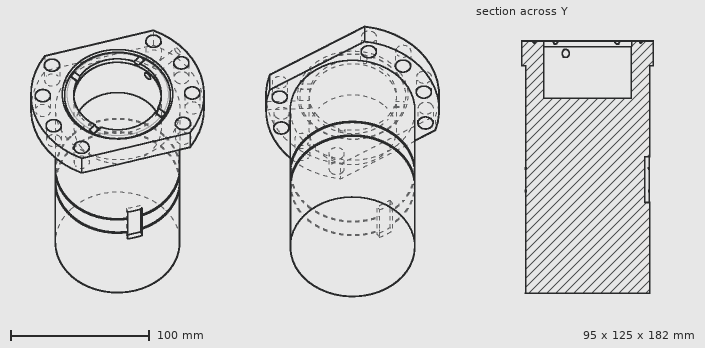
import cadquery as cq
import math

total_height = 182.0
flange_diameter = 125.0
flange_width = 95.0
flange_thickness = 18.0
body_diameter = 89.9

bolt_circle_diameter = 107.7
bolt_hole_diameter = 11.0
bolt_hole_angles = (45, 75, 105, 135)
oil_hole_diameter = 5.8
oil_hole_angle = 120
oil_hole_inner_radius = 27.3
oil_hole_depth = flange_diameter / 2 - oil_hole_inner_radius

bore_diameter = 63.0
bore_depth = 41.3
wiper_bore_diameter = 63.2
wiper_depth = 4.2
groove_outer_diameter = 79.7
groove_inner_diameter = 73.2
groove_depth = 1.6

notch_count = 4
notch_start_angle = 46
notch_slant = 14
notch_diameter = 4.5
notch_inner_radius = 27.3
notch_outer_radius = 38.0

body_middle = (total_height - flange_thickness) / 2
spacer_height = 16.4
joint_width = 1.1
joint_depth = 0.5

keyway_length = 33.0
keyway_width = 11.0
keyway_depth = 3.6


def polar(radius, angle):
    return (radius * math.cos(math.radians(angle)), radius * math.sin(math.radians(angle)))


def make_body():
    return cq.Workplane("XY").circle(body_diameter / 2).extrude(total_height)


def make_flange():
    """Round flange with two parallel flats facing -X and +X."""
    base = cq.Workplane("XY", origin=(0, 0, total_height - flange_thickness))
    disc = base.circle(flange_diameter / 2).extrude(flange_thickness)
    return disc.intersect(base.rect(flange_width, flange_diameter).extrude(flange_thickness))


def make_bolt_holes():
    """Four through holes at each rounded end of the flange."""
    angles = [angle + side for side in (0, 180) for angle in bolt_hole_angles]
    centres = [polar(bolt_circle_diameter / 2, angle) for angle in angles]
    base = cq.Workplane("XY", origin=(0, 0, total_height - flange_thickness))
    return base.pushPoints(centres).circle(bolt_hole_diameter / 2).extrude(flange_thickness)


def make_oil_hole():
    """Radial hole drilled inward from the flange rim at mid thickness until it opens into the bore."""
    x, y = polar(flange_diameter / 2, oil_hole_angle)
    start = cq.Vector(x, y, total_height - flange_thickness / 2)
    inward = cq.Vector(-x, -y, 0)
    return cq.Workplane(cq.Solid.makeCylinder(oil_hole_diameter / 2, oil_hole_depth, start, inward))


def make_bore():
    top = cq.Workplane("XY", origin=(0, 0, total_height))
    bore = top.circle(bore_diameter / 2).extrude(-bore_depth)
    return bore.union(top.circle(wiper_bore_diameter / 2).extrude(-wiper_depth))


def make_wiper_groove():
    """Ring groove with a conical outer wall and a rounded shoulder on the wiper ring."""
    inner_radius = groove_inner_diameter / 2
    floor = (inner_radius + groove_depth, total_height - groove_depth)
    slope = math.sqrt(0.5)
    shoulder_middle = (
        inner_radius + groove_depth * slope,
        total_height - groove_depth + groove_depth * slope,
    )
    profile = cq.Workplane("XZ").moveTo(inner_radius, total_height)
    profile = profile.threePointArc(shoulder_middle, floor)
    profile = profile.lineTo(groove_outer_diameter / 2, total_height).close()
    return profile.revolve(360, (0, 0), (0, 1))


def make_notches():
    """Half-round notches, each turned away from the radial direction."""
    cutters = []
    middle_radius = (wiper_bore_diameter + groove_inner_diameter) / 4
    length = notch_outer_radius - notch_inner_radius
    for index in range(notch_count):
        angle = notch_start_angle + index * 360 / notch_count
        mx, my = polar(middle_radius, angle)
        dx, dy = polar(1, angle - notch_slant)
        back = middle_radius - notch_inner_radius
        start = cq.Vector(mx - back * dx, my - back * dy, total_height)
        cutters.append(cq.Solid.makeCylinder(notch_diameter / 2, length, start, cq.Vector(dx, dy, 0)))
    return cq.Workplane(cq.Compound.makeCompound(cutters))


def make_joint(height):
    """V groove around the body where the spacer meets a nut half."""
    radius = body_diameter / 2
    profile = [
        (radius, height - joint_width / 2),
        (radius - joint_depth, height),
        (radius, height + joint_width / 2),
    ]
    return cq.Workplane("XZ").polyline(profile).close().revolve(360, (0, 0), (0, 1))


def make_keyway():
    outside = cq.Workplane("YZ", origin=(body_diameter / 2, 0, body_middle))
    return outside.rect(keyway_width, keyway_length).extrude(-keyway_depth)


result = make_body().union(make_flange())
result = result.cut(make_bolt_holes()).cut(make_oil_hole())
result = result.cut(make_bore()).cut(make_notches()).cut(make_wiper_groove())
for side in (-1, 1):
    result = result.cut(make_joint(body_middle + side * spacer_height / 2))
result = result.cut(make_keyway())